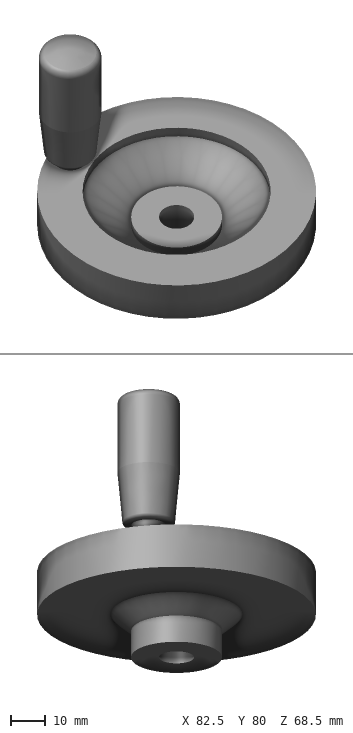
import cadquery as cq

wheel_radius = 40.0
rim_thickness = 12.95
recess_radius = 27.0
recess_wall_depth = 3.3
hub_radius = 13.0
hub_top_depth = 10.0
web_inner_depth = 12.95
bore_radius = 5.0
web_outer_radius = 19.0
web_drop = 5.0
hub_foot = 8.0

overall_length = 82.5
total_height = 68.5
grip_radius = 9.0
grip_length = 40.0
grip_foot_radius = 7.6
foot_round = 1.1
taper_length = 16.0
dome_radius = 7.5
dome_rise = 1.15
shoulder_height = 2.15
stem_radius = 4.95

rim_bottom = hub_foot + web_drop
rim_top = rim_bottom + rim_thickness
grip_bottom = total_height - grip_length
taper_top = grip_bottom + taper_length
dome_base = total_height - dome_rise
handle_offset = overall_length - wheel_radius - grip_radius


def revolve_profile(profile):
    """Turn a closed radius-height profile about the Z axis."""
    return profile.close().revolve(360, (0, 0, 0), (0, 1, 0))


def make_wheel():
    """Dished wheel with its rim, conical web, hub and through bore."""
    return revolve_profile(
        cq.Workplane("XZ")
        .moveTo(bore_radius, 0)
        .lineTo(hub_radius, 0)
        .lineTo(hub_radius, hub_foot)
        .lineTo(web_outer_radius, rim_bottom)
        .lineTo(wheel_radius, rim_bottom)
        .lineTo(wheel_radius, rim_top)
        .lineTo(recess_radius, rim_top)
        .lineTo(recess_radius, rim_top - recess_wall_depth)
        .lineTo(hub_radius, rim_top - web_inner_depth)
        .lineTo(hub_radius, rim_top - hub_top_depth)
        .lineTo(bore_radius, rim_top - hub_top_depth)
    )


def make_handle():
    """Tapered, domed grip on a short stem standing on the rim face."""
    dome_sphere = (dome_radius**2 + dome_rise**2) / (2 * dome_rise)
    grip = revolve_profile(
        cq.Workplane("XZ")
        .moveTo(0, grip_bottom)
        .lineTo(grip_foot_radius - foot_round, grip_bottom)
        .tangentArcPoint((grip_foot_radius, grip_bottom + foot_round), relative=False)
        .lineTo(grip_radius, taper_top)
        .lineTo(grip_radius, dome_base - shoulder_height)
        .tangentArcPoint((dome_radius, dome_base), relative=False)
        .radiusArc((0, total_height), -dome_sphere)
    )
    stem = (
        cq.Workplane("XY")
        .workplane(offset=rim_top)
        .circle(stem_radius)
        .extrude(grip_bottom - rim_top)
    )
    return grip.union(stem).translate((-handle_offset, 0, 0))


result = make_wheel().union(make_handle())